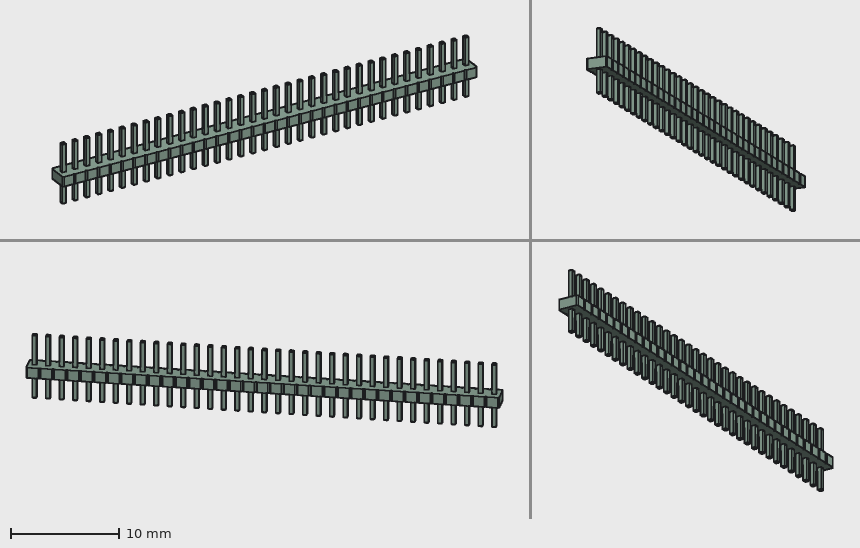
import cadquery as cq

pin_count = 35
row_length = 44.45
pitch = row_length / pin_count

strip_width = 2.1
strip_height = 1.02
corner_chamfer = pitch / 10

pin_side = 0.4
pin_length = 6.3
pin_tip_chamfer = 0.102
pin_below_strip = 2.3

pin_places = [(0, (i - (pin_count - 1) / 2) * pitch) for i in range(pin_count)]


def make_strip():
    """Blocks joined end to end; their corner chamfers form the V-notches between pins."""
    half_width = strip_width / 2
    half_pitch = pitch / 2
    flat_half_width = half_width - corner_chamfer
    flat_half_pitch = half_pitch - corner_chamfer

    right_side = []
    for _, y in pin_places:
        right_side += [
            (flat_half_width, y - half_pitch),
            (half_width, y - flat_half_pitch),
            (half_width, y + flat_half_pitch),
        ]
    right_side.append((flat_half_width, row_length / 2))

    left_side = [(-x, y) for x, y in reversed(right_side)]
    return cq.Workplane("XY").polyline(right_side + left_side).close().extrude(strip_height)


def make_pins():
    """Square pins through the strip, chamfered at both ends."""
    pin = (
        cq.Workplane("XY")
        .box(pin_side, pin_side, pin_length, centered=(True, True, False))
        .faces("<Z or >Z")
        .chamfer(pin_tip_chamfer)
        .translate((0, 0, -pin_below_strip))
    )
    return cq.Workplane("XY").pushPoints(pin_places).eachpoint(lambda place: pin.val().moved(place))


result = make_strip().union(make_pins())